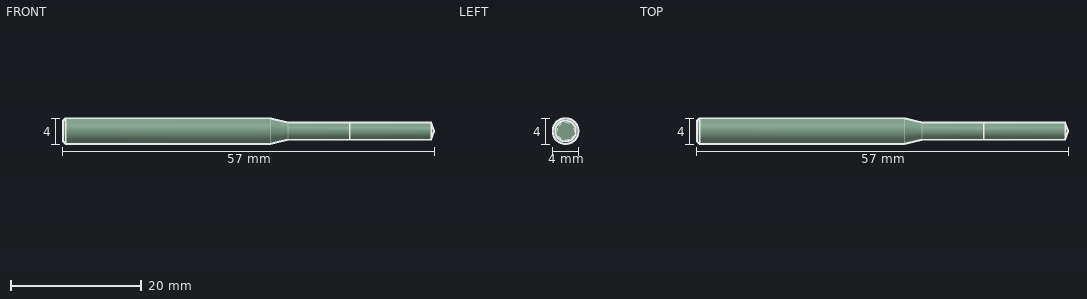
import cadquery as cq
import math

total_length = 57.0
shank_diameter = 4.0
neck_diameter = 2.7
tip_diameter = 2.7
rear_chamfer = 0.4
taper_start = 31.8
taper_end = 34.55
tip_start = 44.0
point_angle = 140.0

shank_radius = shank_diameter / 2
neck_radius = neck_diameter / 2
tip_radius = tip_diameter / 2
point_length = tip_radius / math.tan(math.radians(point_angle / 2))


def revolve_about_x(profile):
    """Revolve a closed (x, radius) profile into a round body about the X axis."""
    return cq.Workplane("XY").polyline(profile).close().revolve(360, (0, 0, 0), (1, 0, 0))


def make_shank():
    """Chamfered cylindrical shank that tapers down to a slender neck."""
    return revolve_about_x([
        (0, 0),
        (0, shank_radius - rear_chamfer),
        (rear_chamfer, shank_radius),
        (taper_start, shank_radius),
        (taper_end, neck_radius),
        (tip_start, neck_radius),
        (tip_start, 0),
    ])


def make_cutting_tip():
    """Cylindrical cutting tip with a conical point, butted against the neck."""
    return revolve_about_x([
        (tip_start, 0),
        (tip_start, tip_radius),
        (total_length - point_length, tip_radius),
        (total_length, 0),
    ])


shank = make_shank()
cutting_tip = make_cutting_tip()

result = cq.Compound.makeCompound([shank.val(), cutting_tip.val()])